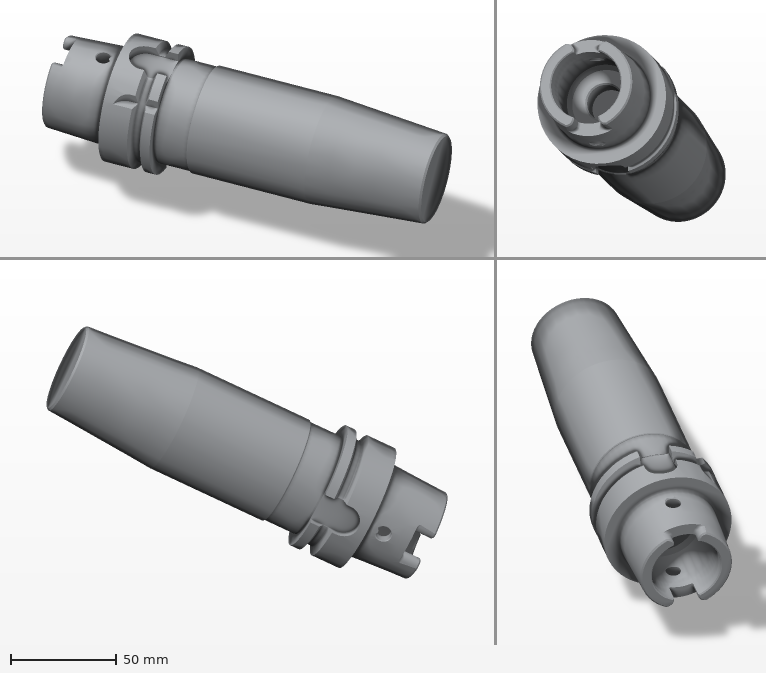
import cadquery as cq
import math

LENGTH = 192.0

NOSE_RADIUS = 22.7
NOSE_CHAMFER = 0.8
TAPER_END_X = 29.5
TAPER_END_RADIUS = 24.2

FLANGE_START_X = 32.0
FLANGE_END_X = 58.0
FLANGE_RADIUS = 31.5
SHANK_FILLET = 1.2

GROOVE_CENTER_X = 50.0
GROOVE_TOP_WIDTH = 6.7
GROOVE_FLOOR_WIDTH = 3.0
GROOVE_FLOOR_RADIUS = 27.5
GROOVE_FLOOR_FILLET = 0.8

NECK_RADIUS = 25.7
NECK_RELIEF_WIDTH = 1.0
NECK_RELIEF_DEPTH = 0.2
BODY_START_X = 74.9
BODY_RADIUS = 26.5
BODY_ROOT_FILLET = 0.4
TIP_START_X = 134.8
TIP_RADIUS = 22.0
TIP_CHAMFER = 1.0

BORE_RADIUS = 17.0
BORE_MOUTH_CHAMFER = 0.5
BORE_STRAIGHT_DEPTH = 13.0
BORE_INNER_RADIUS = 18.0
BORE_FLOOR_RADIUS = 16.0
BORE_DEPTH = 38.4
CENTER_HOLE_RADIUS = 8.8
CENTER_HOLE_CHAMFER = 0.8
CENTER_HOLE_END_X = 50.0

CROSS_HOLE_X = 23.0
CROSS_HOLE_RADIUS = 3.6
COUNTERSINK_RADIUS = 4.5
COUNTERSINK_TOP_Z = 24.0

NOTCH_HALF_WIDTH = 6.0
NOTCH_EDGE_ROUND = 3.6
NOTCH_ROUND_TOP_Z = 20.4
NOTCH_CORNER_FILLET = 1.2
NOTCH_MOUTH_CHAMFER = 0.8
UPPER_NOTCH_DEPTH = 6.0
LOWER_NOTCH_DEPTH = 10.0

MILL_RADIUS = 7.9
KEY_SLOT_CENTER_X = 44.4
KEY_SLOT_FLOOR_Z = NECK_RADIUS
SIDE_SLOT_CENTER_X = 44.2
SIDE_SLOT_WALL_Y = -20.0
SIDE_SLOT_FLOOR_Z = 19.8


def revolve_profile(profile):
    """Turn a closed (x, radius) profile around the X axis."""
    return profile.close().revolve(360, (0, 0, 0), (1, 0, 0))


def fillet_midpoint(center_x, center_radius, fillet):
    """Middle of the concave quarter round that leads up to a face on its +X side."""
    reach = fillet * math.sqrt(0.5)
    return (center_x + reach, center_radius - reach)


def outer_body():
    half_floor = GROOVE_FLOOR_WIDTH / 2
    flank_run = (GROOVE_TOP_WIDTH - GROOVE_FLOOR_WIDTH) / 2
    flank_angle = math.atan2(FLANGE_RADIUS - GROOVE_FLOOR_RADIUS, flank_run)
    corner_length = GROOVE_FLOOR_FILLET * math.tan(flank_angle / 2)
    floor_end = half_floor - corner_length
    flank_end = half_floor + corner_length * math.cos(flank_angle)
    flank_end_radius = GROOVE_FLOOR_RADIUS + corner_length * math.sin(flank_angle)

    shank_fillet_x = FLANGE_START_X - SHANK_FILLET
    shank_fillet_top = TAPER_END_RADIUS + SHANK_FILLET
    neck_start_x = FLANGE_END_X + NECK_RELIEF_WIDTH
    body_root_x = BODY_START_X - BODY_ROOT_FILLET
    body_root_top = NECK_RADIUS + BODY_ROOT_FILLET
    body_chamfer = BODY_RADIUS - body_root_top

    profile = (
        cq.Workplane("XY")
        .moveTo(0, 0)
        .lineTo(0, NOSE_RADIUS - NOSE_CHAMFER)
        .lineTo(NOSE_CHAMFER, NOSE_RADIUS)
        .lineTo(TAPER_END_X, TAPER_END_RADIUS)
        .lineTo(shank_fillet_x, TAPER_END_RADIUS)
        .threePointArc(
            fillet_midpoint(shank_fillet_x, shank_fillet_top, SHANK_FILLET),
            (FLANGE_START_X, shank_fillet_top),
        )
        .lineTo(FLANGE_START_X, FLANGE_RADIUS)
        .lineTo(GROOVE_CENTER_X - GROOVE_TOP_WIDTH / 2, FLANGE_RADIUS)
        .lineTo(GROOVE_CENTER_X - flank_end, flank_end_radius)
        .tangentArcPoint((GROOVE_CENTER_X - floor_end, GROOVE_FLOOR_RADIUS), relative=False)
        .lineTo(GROOVE_CENTER_X + floor_end, GROOVE_FLOOR_RADIUS)
        .tangentArcPoint((GROOVE_CENTER_X + flank_end, flank_end_radius), relative=False)
        .lineTo(GROOVE_CENTER_X + GROOVE_TOP_WIDTH / 2, FLANGE_RADIUS)
        .lineTo(FLANGE_END_X, FLANGE_RADIUS)
        .lineTo(FLANGE_END_X, NECK_RADIUS - NECK_RELIEF_DEPTH)
        .lineTo(neck_start_x, NECK_RADIUS - NECK_RELIEF_DEPTH)
        .lineTo(neck_start_x, NECK_RADIUS)
        .lineTo(body_root_x, NECK_RADIUS)
        .threePointArc(
            fillet_midpoint(body_root_x, body_root_top, BODY_ROOT_FILLET),
            (BODY_START_X, body_root_top),
        )
        .lineTo(BODY_START_X + body_chamfer, BODY_RADIUS)
        .lineTo(TIP_START_X, BODY_RADIUS)
        .lineTo(LENGTH - TIP_CHAMFER, TIP_RADIUS)
        .lineTo(LENGTH, TIP_RADIUS - TIP_CHAMFER)
        .lineTo(LENGTH, 0)
    )
    return revolve_profile(profile)


def clamping_bore():
    profile = (
        cq.Workplane("XY")
        .moveTo(0, 0)
        .lineTo(0, BORE_RADIUS + BORE_MOUTH_CHAMFER)
        .lineTo(BORE_MOUTH_CHAMFER, BORE_RADIUS)
        .lineTo(BORE_STRAIGHT_DEPTH, BORE_RADIUS)
        .lineTo(BORE_DEPTH - (BORE_INNER_RADIUS - BORE_FLOOR_RADIUS), BORE_INNER_RADIUS)
        .lineTo(BORE_DEPTH, BORE_FLOOR_RADIUS)
        .lineTo(BORE_DEPTH, CENTER_HOLE_RADIUS + CENTER_HOLE_CHAMFER)
        .lineTo(BORE_DEPTH + CENTER_HOLE_CHAMFER, CENTER_HOLE_RADIUS)
        .lineTo(CENTER_HOLE_END_X, CENTER_HOLE_RADIUS)
        .lineTo(CENTER_HOLE_END_X, 0)
    )
    return revolve_profile(profile)


def cross_hole():
    """Half of the cross hole, from the axis out through the wall at +Z, with its countersink."""
    countersink_depth = COUNTERSINK_RADIUS - CROSS_HOLE_RADIUS
    profile = (
        cq.Workplane("XZ")
        .lineTo(CROSS_HOLE_RADIUS, 0)
        .lineTo(CROSS_HOLE_RADIUS, COUNTERSINK_TOP_Z - countersink_depth)
        .lineTo(COUNTERSINK_RADIUS, COUNTERSINK_TOP_Z)
        .lineTo(0, COUNTERSINK_TOP_Z)
        .close()
    )
    return profile.revolve(360, (0, 0, 0), (0, 1, 0)).translate((CROSS_HOLE_X, 0, 0))


def notch_outline():
    """Closed section of a notch whose walls round over into the outside of the shank."""
    round_start_z = NOTCH_ROUND_TOP_Z - NOTCH_EDGE_ROUND
    round_end_y = NOTCH_HALF_WIDTH + NOTCH_EDGE_ROUND
    reach = NOTCH_EDGE_ROUND * math.sqrt(0.5)
    round_mid = (round_end_y - reach, round_start_z + reach)
    inner_z = BORE_RADIUS / 2
    outer_y = NOSE_RADIUS
    outer_z = FLANGE_RADIUS
    return (
        cq.Workplane("YZ")
        .moveTo(-NOTCH_HALF_WIDTH, inner_z)
        .lineTo(NOTCH_HALF_WIDTH, inner_z)
        .lineTo(NOTCH_HALF_WIDTH, round_start_z)
        .threePointArc(round_mid, (round_end_y, NOTCH_ROUND_TOP_Z))
        .lineTo(outer_y, NOTCH_ROUND_TOP_Z)
        .lineTo(outer_y, outer_z)
        .lineTo(-outer_y, outer_z)
        .lineTo(-outer_y, NOTCH_ROUND_TOP_Z)
        .lineTo(-round_end_y, NOTCH_ROUND_TOP_Z)
        .threePointArc((-round_mid[0], round_mid[1]), (-NOTCH_HALF_WIDTH, round_start_z))
        .close()
    )


def drive_notch(depth):
    """Notch at +Z with rounded end corners and a chamfered mouth."""
    notch = notch_outline().extrude(depth).faces(">X").edges().fillet(NOTCH_CORNER_FILLET)
    mouth = notch_outline().offset2D(NOTCH_MOUTH_CHAMFER).extrude(NOTCH_MOUTH_CHAMFER, taper=45)
    return notch.union(mouth)


def milled_slot(center_x, center_y, floor_z):
    """Round-ended slot cut from +Z that runs out through the back of the flange."""
    height = FLANGE_RADIUS - floor_z
    plane = cq.Workplane("XY", origin=(center_x, center_y, floor_z))
    run = FLANGE_END_X - center_x
    straight = plane.rect(run, 2 * MILL_RADIUS).extrude(height).translate((run / 2, 0, 0))
    return plane.circle(MILL_RADIUS).extrude(height).union(straight)


def below(cutter):
    """The same cutter turned half a turn around the X axis."""
    return cutter.rotate((0, 0, 0), (1, 0, 0), 180)


key_slot = milled_slot(KEY_SLOT_CENTER_X, 0, KEY_SLOT_FLOOR_Z)
side_slot = milled_slot(SIDE_SLOT_CENTER_X, SIDE_SLOT_WALL_Y - MILL_RADIUS, SIDE_SLOT_FLOOR_Z)

result = (
    outer_body()
    .cut(clamping_bore())
    .cut(cross_hole())
    .cut(below(cross_hole()))
    .cut(drive_notch(UPPER_NOTCH_DEPTH))
    .cut(below(drive_notch(LOWER_NOTCH_DEPTH)))
    .cut(key_slot)
    .cut(below(key_slot))
    .cut(side_slot)
)